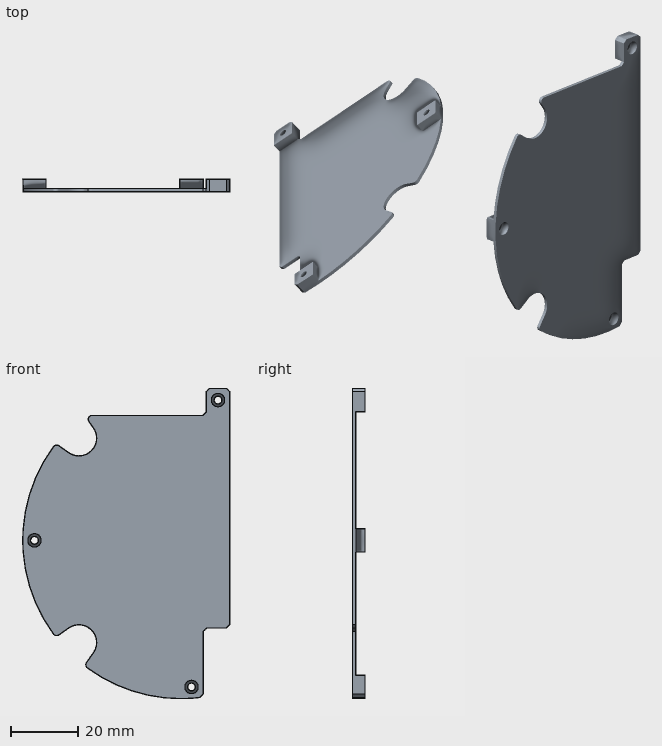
import cadquery as cq
import math

total_width = 61.6
total_height = 92.35
total_depth = 3.75
plate_thickness = 1.0

disc_radius = 47.12
boss_size = 7.0
corner_chamfer = 1.0
right_edge = total_width - disc_radius
top_edge = total_height - disc_radius
tab_left = right_edge - boss_size
shoulder_z = 37.2
step_x = 6.6
step_z = -26.1

notch_angles = (135.0, 225.0)
notch_distance = 43.0
notch_radius = 5.25
notch_wall_angle = 10.0
notch_reach = 15.0
notch_corner_radius = 1.2

hole_diameter = 2.25
counterbore_diameter = 4.0
counterbore_depth = total_depth - plate_thickness

boss_offset = boss_size / 2
boss_centers = [
    (boss_offset - disc_radius, 0),
    (step_x - boss_offset, boss_offset - disc_radius),
    (right_edge - boss_offset, top_edge - boss_offset),
]


def front_plane():
    """Sketch plane on the front face, with X to the right and Z up."""
    return cq.Workplane("XZ")


def prism(sketch, depth):
    """Extrude a front-plane sketch backwards, towards +Y."""
    return sketch.extrude(-depth)


def stepped_disc(depth):
    """Outline prism without notches, its right-hand corners chamfered."""
    shoulder_x = -math.sqrt(disc_radius ** 2 - shoulder_z ** 2)
    foot_z = -math.sqrt(disc_radius ** 2 - step_x ** 2)
    rim_diagonal = -disc_radius * math.sqrt(0.5)
    sketch = (
        front_plane()
        .moveTo(shoulder_x, shoulder_z)
        .lineTo(tab_left, shoulder_z)
        .lineTo(tab_left, top_edge)
        .lineTo(right_edge, top_edge)
        .lineTo(right_edge, step_z)
        .lineTo(step_x, step_z)
        .lineTo(step_x, foot_z)
        .threePointArc((rim_diagonal, rim_diagonal), (shoulder_x, shoulder_z))
        .close()
    )
    body = prism(sketch, depth)
    right_corners = [edge for edge in body.edges("|Y").vals() if edge.Center().x > 0]
    return body.newObject(right_corners).chamfer(corner_chamfer)


def notch(depth, angle):
    """Round-bottomed notch whose straight walls flare outward, tangent to the round."""
    wall = math.radians(notch_wall_angle)
    tangent_u = notch_distance - notch_radius * math.sin(wall)
    tangent_v = notch_radius * math.cos(wall)
    mouth_u = notch_distance + notch_reach
    mouth_v = tangent_v + (mouth_u - tangent_u) * math.tan(wall)
    sketch = (
        front_plane()
        .transformed(rotate=(0, 0, angle))
        .moveTo(tangent_u, tangent_v)
        .threePointArc((notch_distance - notch_radius, 0), (tangent_u, -tangent_v))
        .lineTo(mouth_u, -mouth_v)
        .lineTo(mouth_u, mouth_v)
        .close()
    )
    return prism(sketch, depth)


def is_mouth_corner(edge):
    """True for the edges through the thickness where a notch wall meets the rim or the top edge."""
    center = edge.Center()
    near_rim = math.hypot(center.x, center.z) > (notch_distance + disc_radius) / 2
    return center.x < 0 and near_rim


def outline(depth):
    """Prism of the whole outline, with the notches and their rounded mouths."""
    body = stepped_disc(depth)
    for angle in notch_angles:
        body = body.cut(notch(depth, angle))
    mouth_corners = [edge for edge in body.edges("|Y").vals() if is_mouth_corner(edge)]
    return body.newObject(mouth_corners).fillet(notch_corner_radius)


def boss(x, z):
    """Square boss around a screw hole, trimmed to the outline."""
    block = prism(front_plane().center(x, z).rect(boss_size, boss_size), total_depth)
    return block.intersect(outline(total_depth))


def screw_hole(x, z):
    """Through hole with a counterbore open to the front."""
    shank = prism(front_plane().center(x, z).circle(hole_diameter / 2), total_depth)
    head = prism(front_plane().center(x, z).circle(counterbore_diameter / 2), counterbore_depth)
    return shank.union(head)


def cover_plate():
    """Thin plate with its three screw bosses in one piece."""
    body = outline(plate_thickness)
    for x, z in boss_centers:
        body = body.union(boss(x, z))
    for x, z in boss_centers:
        body = body.cut(screw_hole(x, z))
    return body.clean()


plate = cover_plate()

result = cq.Compound.makeCompound([*plate.solids().vals()])